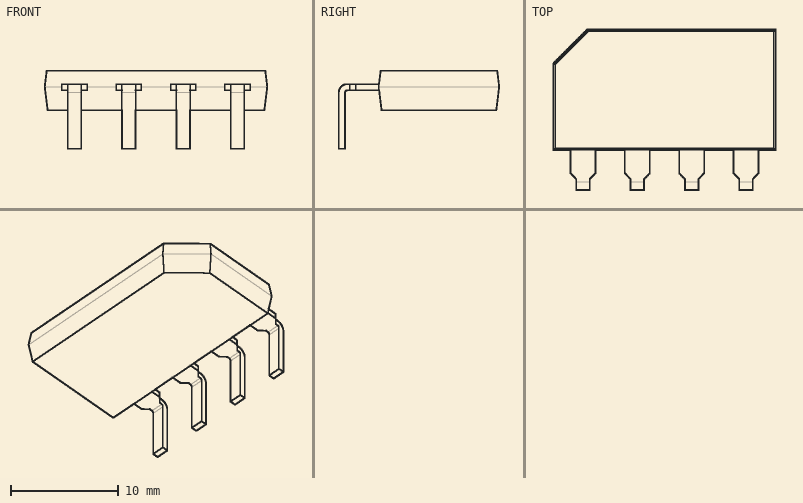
import cadquery as cq

OVERALL_HEIGHT = 7.3

BODY_LENGTH = 20.8
BODY_DEPTH = 11.27
UPPER_HEIGHT = 1.5
LOWER_HEIGHT = 2.2
DRAFT_ANGLE = 7.0
CORNER_CUT = 3.18

LEAD_COUNT = 4
LEAD_PITCH = 5.08
LEAD_THICKNESS = 0.6
LEAD_TOP_Z = 0.25
LEAD_TIP_Z = UPPER_HEIGHT - OVERALL_HEIGHT
LEAD_REACH = 3.72
SHOULDER_WIDTH = 2.35
SHOULDER_LENGTH = 2.15
SHOULDER_TAPER_LENGTH = 0.56
PIN_WIDTH = 1.3
BEND_OUTER_RADIUS = 0.8
BEND_INNER_RADIUS = BEND_OUTER_RADIUS - LEAD_THICKNESS
LEAD_EMBED = 1.05

FRONT_Y = -BODY_DEPTH / 2
LEAD_FRONT_Y = FRONT_Y - LEAD_REACH


def make_body_half(height):
    """Drafted block standing on the parting plane, with one corner cut off."""
    half_length = BODY_LENGTH / 2
    half_depth = BODY_DEPTH / 2
    return (
        cq.Workplane("XY")
        .polyline([
            (-half_length, -half_depth),
            (half_length, -half_depth),
            (half_length, half_depth),
            (-half_length + CORNER_CUT, half_depth),
            (-half_length, half_depth - CORNER_CUT),
        ])
        .close()
        .extrude(height, taper=DRAFT_ANGLE)
    )


def make_body():
    """Two drafted halves, both narrowing away from the parting plane."""
    upper = make_body_half(UPPER_HEIGHT)
    lower = make_body_half(LOWER_HEIGHT).mirror("XY")
    return upper.union(lower)


def make_bent_strip():
    """Full-width lead strip: straight out of the body, then bent downwards."""
    inner_end_y = FRONT_Y + LEAD_EMBED
    lead_bottom_z = LEAD_TOP_Z - LEAD_THICKNESS
    bend_y = LEAD_FRONT_Y + BEND_OUTER_RADIUS
    bend_z = LEAD_TOP_Z - BEND_OUTER_RADIUS
    pin_back_y = LEAD_FRONT_Y + LEAD_THICKNESS
    return (
        cq.Workplane("YZ")
        .moveTo(inner_end_y, LEAD_TOP_Z)
        .lineTo(bend_y, LEAD_TOP_Z)
        .radiusArc((LEAD_FRONT_Y, bend_z), -BEND_OUTER_RADIUS)
        .lineTo(LEAD_FRONT_Y, LEAD_TIP_Z)
        .lineTo(pin_back_y, LEAD_TIP_Z)
        .lineTo(pin_back_y, bend_z)
        .radiusArc((bend_y, lead_bottom_z), BEND_INNER_RADIUS)
        .lineTo(inner_end_y, lead_bottom_z)
        .close()
        .extrude(SHOULDER_WIDTH / 2, both=True)
    )


def make_lead():
    """Bent strip trimmed to a wide shoulder that tapers to the narrow pin."""
    shoulder_y = FRONT_Y - SHOULDER_LENGTH
    taper_end_y = shoulder_y - SHOULDER_TAPER_LENGTH
    right_side = [
        (SHOULDER_WIDTH / 2, FRONT_Y + LEAD_EMBED),
        (SHOULDER_WIDTH / 2, shoulder_y),
        (PIN_WIDTH / 2, taper_end_y),
        (PIN_WIDTH / 2, LEAD_FRONT_Y),
    ]
    left_side = [(-x, y) for x, y in reversed(right_side)]
    plan = (
        cq.Workplane("XY", origin=(0, 0, LEAD_TIP_Z))
        .polyline(right_side + left_side)
        .close()
        .extrude(LEAD_TOP_Z - LEAD_TIP_Z)
    )
    return make_bent_strip().intersect(plan)


result = make_body()
lead = make_lead()
first_lead_x = -LEAD_PITCH * (LEAD_COUNT - 1) / 2
for index in range(LEAD_COUNT):
    result = result.union(lead.translate((first_lead_x + index * LEAD_PITCH, 0, 0)))